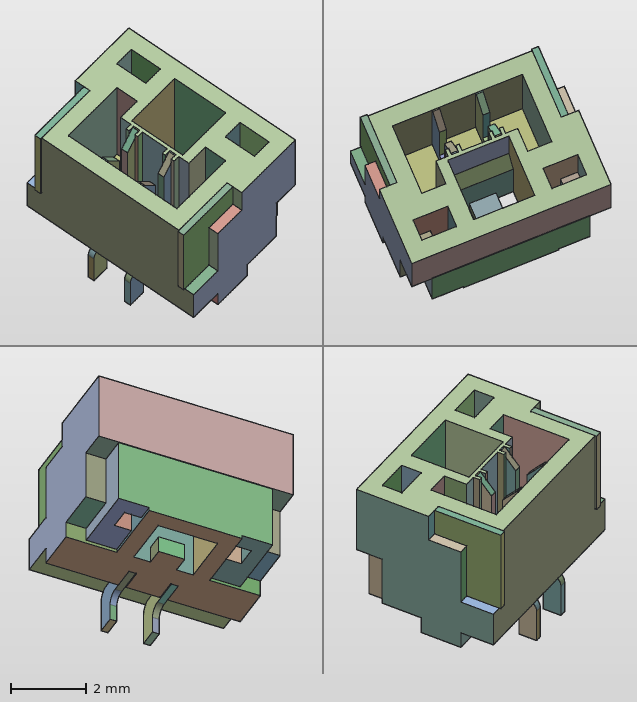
import cadquery as cq
import math


WIDTH = 5.75
DEPTH = 4.255
HEIGHT = 4.05
HALF_WIDTH = WIDTH / 2
WALL = 0.5

BASE_HEIGHT = 0.5
BASE_FRONT = 1.01
BASE_BACK = 2.25
OVERHANG_Z = 1.995
REAR_CORNER_DEPTH = 0.8
REAR_SIDE_INSET = 0.6
REAR_FACE_INSET = 0.025
REAR_STANDOFF = 0.1

CAVITY_HALF_WIDTH = HALF_WIDTH - 2 * WALL
CAVITY_FRONT = 0.51
CAVITY_BACK = 1.86
CAVITY_WING_BACK = 2.55
CAVITY_WING_INNER = 1.18
FLOOR_Z = BASE_HEIGHT + WALL

REAR_OPENING_BACK = DEPTH - WALL
WINDOW_WIDTH = 1.76
WINDOW_TOP_FRONT = 1.96
WINDOW_LOW_FRONT = 2.265
RAMP_BOTTOM_Z = OVERHANG_Z
RAMP_HEIGHT = 0.52
FOOT_WIDTH = 0.77
FOOT_LENGTH = 0.5

POCKET_LENGTH = 0.61
POCKET_OUTER = HALF_WIDTH - WALL
POCKET_INNER = HALF_WIDTH - 3 * WALL
POCKET_LEDGE_INNER = HALF_WIDTH - 2 * WALL
POCKET_LEDGE_Z = OVERHANG_Z + WALL

TAB_THICKNESS = 0.2
TAB_INSET = 0.305
TAB_PROUD = 0.045
TAB_LEG_BACK = BASE_FRONT
TAB_ARM_BACK = 2.01
TAB_ARM_Z = HEIGHT - 0.8
TAB_LEG_Z = HEIGHT - 2.5

PIN_PITCH = 1.255
PIN_THICKNESS = 0.2
SLOT_CLEARANCE = 0.025
RIB_WIDTH = 0.4
RIB_FRONT = 1.66
TINE_TIP = 0.04
TINE_WIDTH = 0.5
TINE_BEVEL_HEIGHT = 0.5
FORK_BASE_Z = FLOOR_Z + WALL
TAIL_FRONT = -TAB_PROUD
TAIL_WIDTH = 0.55
TAIL_DROP = 0.8
TAIL_RADIUS = 0.3

SIDES = (-1, 1)


def block(x_range, y_range, z_range):
    """Axis-aligned box between pairs of limits, given in either order."""
    x0, x1 = sorted(x_range)
    y0, y1 = sorted(y_range)
    z0, z1 = sorted(z_range)
    return cq.Workplane("XY").box(x1 - x0, y1 - y0, z1 - z0, centered=False).translate((x0, y0, z0))


def centred_block(width, y_range, z_range, x_centre=0.0):
    return block((x_centre - width / 2, x_centre + width / 2), y_range, z_range)


def side_profile(points, width, x_centre=0.0):
    """Prism across X from a closed (Y, Z) outline."""
    prism = cq.Workplane("YZ").polyline(points).close().extrude(width / 2, both=True)
    return prism.translate((x_centre, 0, 0))


def tab_shape(front, inner, outer):
    """L-shaped prism between two X positions, reaching the housing top."""
    outline = [
        (front, HEIGHT),
        (TAB_ARM_BACK, HEIGHT),
        (TAB_ARM_BACK, TAB_ARM_Z),
        (TAB_LEG_BACK, TAB_ARM_Z),
        (TAB_LEG_BACK, TAB_LEG_Z),
        (front, TAB_LEG_Z),
    ]
    return side_profile(outline, abs(outer - inner), (inner + outer) / 2)


def make_tab(side):
    outer = HALF_WIDTH - TAB_INSET
    return tab_shape(-TAB_PROUD, side * (outer - TAB_THICKNESS), side * outer)


def make_pin(side):
    """Two tines above the floor, a stem through it and a tail bent down at the front."""
    front_tine_inner = CAVITY_FRONT + TINE_WIDTH
    back_tine_inner = CAVITY_BACK - TINE_WIDTH
    bevel_z = HEIGHT - TINE_BEVEL_HEIGHT
    tail_back = TAIL_FRONT + TAIL_WIDTH
    arc_mid = TAIL_RADIUS * (1 - math.sqrt(0.5))
    outline = (
        cq.Workplane("YZ")
        .moveTo(CAVITY_FRONT, FLOOR_Z)
        .lineTo(CAVITY_FRONT, HEIGHT)
        .lineTo(CAVITY_FRONT + TINE_TIP, HEIGHT)
        .lineTo(front_tine_inner, bevel_z)
        .lineTo(front_tine_inner, FORK_BASE_Z)
        .lineTo(back_tine_inner, FORK_BASE_Z)
        .lineTo(back_tine_inner, bevel_z)
        .lineTo(CAVITY_BACK - TINE_TIP, HEIGHT)
        .lineTo(CAVITY_BACK, HEIGHT)
        .lineTo(CAVITY_BACK, FLOOR_Z)
        .lineTo(RIB_FRONT, FLOOR_Z)
        .lineTo(RIB_FRONT, 0)
        .lineTo(tail_back + TAIL_RADIUS, 0)
        .threePointArc((tail_back + arc_mid, -arc_mid), (tail_back, -TAIL_RADIUS))
        .lineTo(tail_back, -TAIL_DROP)
        .lineTo(TAIL_FRONT, -TAIL_DROP)
        .lineTo(TAIL_FRONT, BASE_HEIGHT - TAIL_RADIUS)
        .threePointArc(
            (TAIL_FRONT + arc_mid, BASE_HEIGHT - arc_mid),
            (TAIL_FRONT + TAIL_RADIUS, BASE_HEIGHT),
        )
        .lineTo(BASE_FRONT, BASE_HEIGHT)
        .lineTo(BASE_FRONT, FLOOR_Z)
        .close()
    )
    return outline.extrude(PIN_THICKNESS / 2, both=True).translate((side * PIN_PITCH / 2, 0, 0))


def housing_shell():
    """Outer form: upper body, full-width base and the inset rear part."""
    shell = block((-HALF_WIDTH, HALF_WIDTH), (0, DEPTH), (OVERHANG_Z, HEIGHT))
    lower = block(
        (-HALF_WIDTH, HALF_WIDTH), (0, DEPTH - REAR_CORNER_DEPTH), (BASE_HEIGHT, OVERHANG_Z)
    )
    base = block((-HALF_WIDTH, HALF_WIDTH), (BASE_FRONT, BASE_BACK), (0, BASE_HEIGHT))
    rear_back = DEPTH - REAR_FACE_INSET
    rear = centred_block(
        WIDTH - 2 * REAR_SIDE_INSET, (BASE_BACK, rear_back), (REAR_STANDOFF, OVERHANG_Z)
    )
    rear_pad = centred_block(2 * POCKET_INNER, (BASE_BACK, rear_back), (0, REAR_STANDOFF))
    return shell.union(lower).union(base).union(rear).union(rear_pad)


def cavity():
    """Open-topped cavity: a main bay with a wing at each side of the back wall."""
    bay = centred_block(2 * CAVITY_HALF_WIDTH, (CAVITY_FRONT, CAVITY_BACK), (FLOOR_Z, HEIGHT))
    for side in SIDES:
        wing = block(
            (side * CAVITY_WING_INNER, side * CAVITY_HALF_WIDTH),
            (CAVITY_FRONT, CAVITY_WING_BACK),
            (FLOOR_Z, HEIGHT),
        )
        bay = bay.union(wing)
        bay = bay.cut(
            centred_block(RIB_WIDTH, (RIB_FRONT, CAVITY_BACK), (FLOOR_Z, HEIGHT), side * PIN_PITCH / 2)
        )
    return bay


def rear_window():
    """Through window whose front wall ramps out to the base; a foot stands inside it."""
    outline = [
        (WINDOW_TOP_FRONT, HEIGHT),
        (REAR_OPENING_BACK, HEIGHT),
        (REAR_OPENING_BACK, 0),
        (WINDOW_LOW_FRONT, 0),
        (WINDOW_LOW_FRONT, RAMP_BOTTOM_Z),
        (WINDOW_TOP_FRONT, RAMP_BOTTOM_Z + RAMP_HEIGHT),
    ]
    foot = centred_block(
        FOOT_WIDTH, (WINDOW_LOW_FRONT, WINDOW_LOW_FRONT + FOOT_LENGTH), (0, BASE_HEIGHT)
    )
    return side_profile(outline, WINDOW_WIDTH).cut(foot)


def corner_pocket(side):
    """Pocket that is through on its inner half and stops at a ledge on its outer half."""
    y_range = (REAR_OPENING_BACK - POCKET_LENGTH, REAR_OPENING_BACK)
    through = block((side * POCKET_INNER, side * POCKET_LEDGE_INNER), y_range, (0, HEIGHT))
    ledge = block((side * POCKET_LEDGE_INNER, side * POCKET_OUTER), y_range, (POCKET_LEDGE_Z, HEIGHT))
    return through.union(ledge)


def rib_groove(side):
    """Full-height groove in the rib, holding the back of the contact."""
    return centred_block(
        PIN_THICKNESS, (RIB_FRONT, CAVITY_BACK), (FLOOR_Z, HEIGHT), side * PIN_PITCH / 2
    )


def stem_clearance(side):
    """Narrow gap beside the contact stem, on the side facing the other contact."""
    stem_face = (PIN_PITCH - PIN_THICKNESS) / 2
    return block(
        (side * (stem_face - SLOT_CLEARANCE), side * stem_face),
        (BASE_FRONT, RIB_FRONT),
        (0, FLOOR_Z),
    )


def make_housing():
    housing = housing_shell().cut(cavity()).cut(rear_window())
    for side in SIDES:
        tab_recess = tab_shape(0, side * (HALF_WIDTH - TAB_INSET - TAB_THICKNESS), side * HALF_WIDTH)
        housing = housing.cut(tab_recess).cut(corner_pocket(side))
        housing = housing.cut(rib_groove(side)).cut(stem_clearance(side)).cut(make_pin(side))
    return housing


housing = make_housing()
pins = [make_pin(side) for side in SIDES]
tabs = [make_tab(side) for side in SIDES]

result = cq.Compound.makeCompound(
    [housing.val(), *[pin.val() for pin in pins], *[tab.val() for tab in tabs]]
)